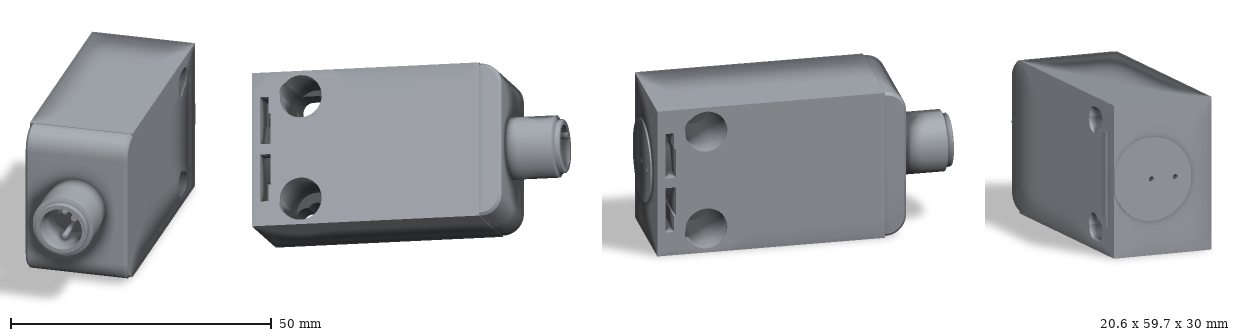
import cadquery as cq
import math


HOUSING_WIDTH = 20.4
HOUSING_LENGTH = 44.7
HOUSING_HEIGHT = 30.0
LEFT_FACE = -HOUSING_WIDTH / 2
RIGHT_FACE = HOUSING_WIDTH / 2

DISC_RADIUS = 8.2
DISC_THICKNESS = 0.35
DISC_AXIS_X = 2.3

STRIP_RAISE = 0.2
STRIP_WIDTH = 0.95
STRIP_HEIGHT = 18.6
STRIP_FROM_REAR = 3.65

MOUNT_FROM_REAR = 9.6
MOUNT_OFFSET_Z = 10.0
MOUNT_HOLE_RADIUS = 2.15
COUNTERBORE_RADIUS = 4.1
COUNTERBORE_WEB = 5.95
ADJUST_SLOT_RADIUS = 2.1
ADJUST_SLOT_TRAVEL = 2.1
ADJUST_SLOT_SHIFT_Z = 0.9

WINDOW_FROM_REAR = 1.6
WINDOW_INNER_Z = 1.0
WINDOW_STEP_Z = 7.0
WINDOW_OUTER_Z = 10.2
WINDOW_WIDE = 2.0
WINDOW_NARROW = 1.7
WINDOW_DEPTH = 7.15
LEDGE_WIDTH = 0.35
LEDGE_DEPTH = 5.95
SHELF_WIDTH = 1.1
SHELF_DEPTH = 6.55
SHELF_INNER_Z = 7.3
CORE_RADIUS = 8.95
CORE_HALF_HEIGHT = 5.5

CAP_INSET_X = 0.2
CAP_INSET_Z = 0.1
CAP_LENGTH = 4.25
CAP_ROUNDING = 4.0
CAP_SIDE_CHAMFER = 0.55
CAP_WIDTH = HOUSING_WIDTH - CAP_INSET_X
CAP_HEIGHT = HOUSING_HEIGHT - 2 * CAP_INSET_Z

TOTAL_LENGTH = 59.7
BARREL_DIAMETER = 12.0
BARREL_RADIUS = BARREL_DIAMETER / 2
BARREL_LENGTH = TOTAL_LENGTH - DISC_THICKNESS - HOUSING_LENGTH - CAP_LENGTH
TIP_RADIUS = 5.2
TIP_LENGTH = 1.0
TIP_CHAMFER = 0.2
SHOULDER_LENGTH = 0.35
SOCKET_RADIUS = 4.2
SOCKET_DEPTH = 8.35
KEY_RADIUS = 0.65
KEY_CIRCLE_RADIUS = 3.7
KEY_ANGLE = 45

CONTACT_OFFSET = 2.5
CONTACT_RADIUS = 0.55
PIN_RECESS = 2.4
PIN_TIP_ROUNDING = 0.3

BARREL_FRONT = -CAP_LENGTH - BARREL_LENGTH
REAR_END = HOUSING_LENGTH + DISC_THICKNESS
SOCKET_FLOOR = BARREL_FRONT + SOCKET_DEPTH


def box_between(x_range, y_range, z_range):
    """Axis-aligned box given by its limits along X, Y and Z."""
    limits = (x_range, y_range, z_range)
    size = [high - low for low, high in limits]
    return cq.Workplane("XY").box(*size, centered=False).translate([low for low, high in limits])


def cylinder_along_x(radius, x_range, y, z):
    start, end = x_range
    return cq.Workplane("YZ", origin=(start, y, z)).circle(radius).extrude(end - start)


def cylinder_along_y(radius, y_range, x, z):
    start, end = y_range
    return cq.Workplane("XZ", origin=(x, start, z)).circle(radius).extrude(start - end)


def contact_bores():
    """The two contact bores that run through both bodies."""
    y_range = (BARREL_FRONT, REAR_END)
    left = cylinder_along_y(CONTACT_RADIUS, y_range, -CONTACT_OFFSET, 0)
    right = cylinder_along_y(CONTACT_RADIUS, y_range, CONTACT_OFFSET, 0)
    return left.union(right)


def sensing_disc():
    disc = cylinder_along_y(DISC_RADIUS, (HOUSING_LENGTH, REAR_END), DISC_AXIS_X, 0)
    half_height = HOUSING_HEIGHT / 2
    trim = box_between((LEFT_FACE, RIGHT_FACE), (HOUSING_LENGTH, REAR_END), (-half_height, half_height))
    return disc.intersect(trim)


def raised_strip():
    center_y = HOUSING_LENGTH - STRIP_FROM_REAR
    return box_between(
        (RIGHT_FACE, RIGHT_FACE + STRIP_RAISE),
        (center_y - STRIP_WIDTH / 2, center_y + STRIP_WIDTH / 2),
        (-STRIP_HEIGHT / 2, STRIP_HEIGHT / 2),
    )


def upper_mounting_hole():
    y = HOUSING_LENGTH - MOUNT_FROM_REAR
    slot_z = MOUNT_OFFSET_Z + ADJUST_SLOT_SHIFT_Z
    through = (LEFT_FACE, RIGHT_FACE)
    hole = cylinder_along_x(MOUNT_HOLE_RADIUS, through, y, MOUNT_OFFSET_Z)
    counterbore = cylinder_along_x(
        COUNTERBORE_RADIUS, (LEFT_FACE, RIGHT_FACE - COUNTERBORE_WEB), y, MOUNT_OFFSET_Z
    )
    slot = (
        cq.Workplane("YZ", origin=(LEFT_FACE, y + ADJUST_SLOT_TRAVEL / 2, slot_z))
        .slot2D(ADJUST_SLOT_TRAVEL + 2 * ADJUST_SLOT_RADIUS, 2 * ADJUST_SLOT_RADIUS)
        .extrude(HOUSING_WIDTH)
    )
    return hole.union(counterbore).union(slot)


def upper_window():
    """Stepped window pocket, less the core, ledge and shelf that stand inside it."""
    rear = HOUSING_LENGTH - WINDOW_FROM_REAR
    floor = LEFT_FACE + WINDOW_DEPTH
    depth_range = (LEFT_FACE, floor)
    wide = box_between(depth_range, (rear - WINDOW_WIDE, rear), (WINDOW_INNER_Z, WINDOW_STEP_Z))
    narrow = box_between(depth_range, (rear - WINDOW_NARROW, rear), (WINDOW_STEP_Z, WINDOW_OUTER_Z))
    core_y = (rear - WINDOW_WIDE, rear)
    core = cylinder_along_y(CORE_RADIUS, core_y, DISC_AXIS_X, 0).intersect(
        box_between((LEFT_FACE, DISC_AXIS_X), core_y, (0, CORE_HALF_HEIGHT))
    )
    ledge = box_between(
        (LEFT_FACE + LEDGE_DEPTH, floor), (rear - LEDGE_WIDTH, rear), (CORE_HALF_HEIGHT, WINDOW_OUTER_Z)
    )
    shelf = box_between(
        (LEFT_FACE + SHELF_DEPTH, floor), (rear - SHELF_WIDTH, rear), (SHELF_INNER_Z, WINDOW_OUTER_Z)
    )
    return wide.union(narrow).cut(core).cut(ledge).cut(shelf)


def make_housing():
    half_height = HOUSING_HEIGHT / 2
    body = box_between((LEFT_FACE, RIGHT_FACE), (0, HOUSING_LENGTH), (-half_height, half_height))
    body = body.union(sensing_disc()).union(raised_strip())
    for cutter in (upper_mounting_hole(), upper_window()):
        body = body.cut(cutter).cut(cutter.mirror("XY"))
    return body.cut(contact_bores())


def cap_block():
    """Cap with rounded top and bottom front edges and chamfered side rims."""
    half_height = CAP_HEIGHT / 2
    block = box_between((RIGHT_FACE - CAP_WIDTH, RIGHT_FACE), (-CAP_LENGTH, 0), (-half_height, half_height))
    block = block.faces("<Y").edges("|X").fillet(CAP_ROUNDING)
    side_rims = block.faces("<X or >X").edges("not(>Y)")
    return side_rims.chamfer(CAP_SIDE_CHAMFER)


def connector_barrel():
    """Barrel turned about the Y axis, with a conical shoulder and a narrower tip."""
    shoulder_front = BARREL_FRONT + TIP_LENGTH
    outline = [
        (0, -CAP_LENGTH),
        (BARREL_RADIUS, -CAP_LENGTH),
        (BARREL_RADIUS, shoulder_front + SHOULDER_LENGTH),
        (TIP_RADIUS, shoulder_front),
        (TIP_RADIUS, BARREL_FRONT + TIP_CHAMFER),
        (TIP_RADIUS - TIP_CHAMFER, BARREL_FRONT),
        (0, BARREL_FRONT),
    ]
    return cq.Workplane("XY").polyline(outline).close().revolve(360, (0, 0), (0, 1))


def connector_socket():
    """Round socket, less the coding key on its wall."""
    depth_range = (BARREL_FRONT, SOCKET_FLOOR)
    angle = math.radians(KEY_ANGLE)
    socket = cylinder_along_y(SOCKET_RADIUS, depth_range, 0, 0)
    key = cylinder_along_y(
        KEY_RADIUS, depth_range, KEY_CIRCLE_RADIUS * math.cos(angle), KEY_CIRCLE_RADIUS * math.sin(angle)
    )
    return socket.cut(key)


def contact_pin(z):
    pin = cylinder_along_y(CONTACT_RADIUS, (BARREL_FRONT + PIN_RECESS, SOCKET_FLOOR), 0, z)
    return pin.faces("<Y").edges().fillet(PIN_TIP_ROUNDING)


def make_connector_cap():
    body = cap_block().union(connector_barrel()).cut(connector_socket())
    for z in (-CONTACT_OFFSET, CONTACT_OFFSET):
        body = body.union(contact_pin(z))
    return body.cut(contact_bores())


housing = make_housing()
connector_cap = make_connector_cap()
result = cq.Compound.makeCompound([housing.val(), connector_cap.val()])